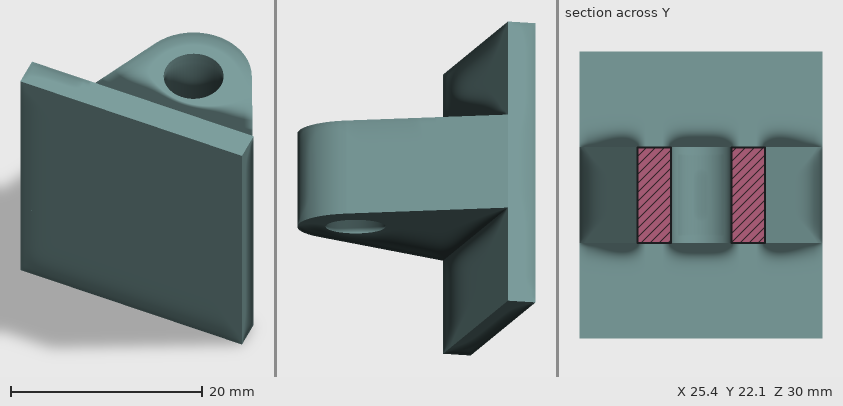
import cadquery as cq
import math

total_height = 30.0
width = 25.4
depth = 22.1
plate_thickness = 3.0
eye_radius = 6.1
hole_diameter = 6.27
layer_count = 3

layer_height = total_height / layer_count
half_width = width / 2
eye_center_y = depth - eye_radius

corner_rise = plate_thickness - eye_center_y
corner_distance = math.hypot(half_width, corner_rise)
tangent_angle = math.atan2(corner_rise, half_width) + math.acos(eye_radius / corner_distance)
tangent_x = eye_radius * math.cos(tangent_angle)
tangent_y = eye_center_y + eye_radius * math.sin(tangent_angle)


def make_plate(bottom_z):
    """Plain rectangular plate, one layer high, with its front face at Y = 0."""
    return (
        cq.Workplane("XY", origin=(0, 0, bottom_z))
        .rect(width, plate_thickness)
        .extrude(layer_height)
        .translate((0, plate_thickness / 2, 0))
    )


def make_lug(bottom_z):
    """Plate section that tapers back to a round eye with a through hole."""
    outline = (
        cq.Workplane("XY", origin=(0, 0, bottom_z))
        .moveTo(-half_width, 0)
        .lineTo(half_width, 0)
        .lineTo(half_width, plate_thickness)
        .lineTo(tangent_x, tangent_y)
        .threePointArc((0, depth), (-tangent_x, tangent_y))
        .lineTo(-half_width, plate_thickness)
        .close()
    )
    hole = (
        cq.Workplane("XY", origin=(0, eye_center_y, bottom_z))
        .circle(hole_diameter / 2)
        .extrude(layer_height)
    )
    return outline.extrude(layer_height).cut(hole)


lug = make_lug(layer_height)
plates = [make_plate(bottom_z) for bottom_z in (0, total_height - layer_height)]

result = cq.Compound.makeCompound([lug.val(), *[plate.val() for plate in plates]])